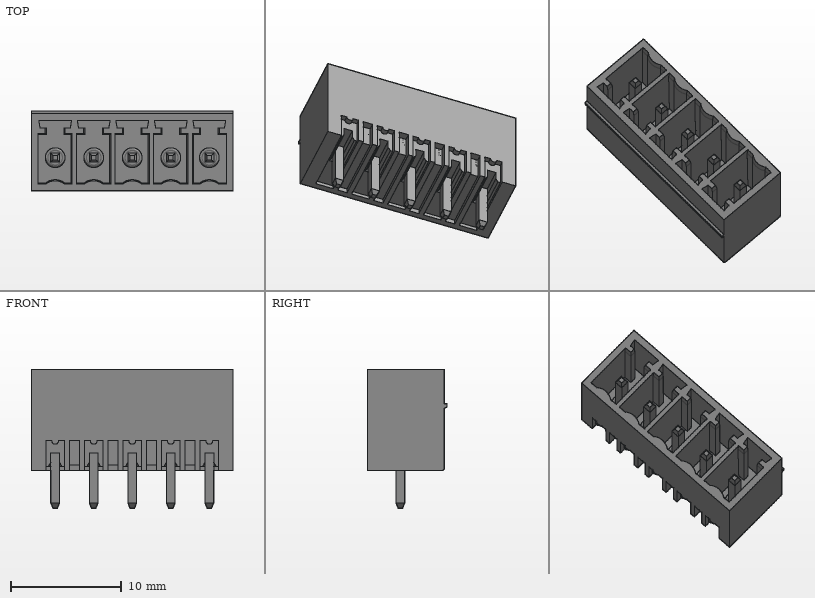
import cadquery as cq


HOUSING_LENGTH = 18.3
HOUSING_DEPTH = 6.99
HOUSING_HEIGHT = 9.19
REAR_EDGE_CHAMFER = 0.15

RIDGE_DEPTH = 0.25
RIDGE_TOP = 6.08
RIDGE_HEIGHT = 0.44
RIDGE_BEVEL = 0.13

POSITIONS = 5
PITCH = 3.5
PIN_Y = 3.0
POSITION_XS = [(i - (POSITIONS - 1) / 2) * PITCH for i in range(POSITIONS)]
GAP_XS = [x + PITCH / 2 for x in POSITION_XS[:-1]]

PIN_WIDTH = 0.8
PIN_TIP_WIDTH = 0.4
PIN_TAPER = 0.5
PIN_TOP = 8.0
PIN_BOTTOM = -3.42
COLLAR_DIAMETER = 1.8
COLLAR_HEIGHT = 0.25
COLLAR_ROUND = 0.24

CAVITY_FLOOR = 2.0
CAVITY_WIDTH = 3.1
CAVITY_HALF_WIDTH = CAVITY_WIDTH / 2
CAVITY_FRONT = 0.71
BUMP_HALF_WIDTH = 0.85
BUMP_HEIGHT = 0.3
TAB_FRONT = 5.1
TAB_REAR = 5.67
TAB_GAP_HALF = 0.8
KEYWAY_REAR = 6.35
KEYWAY_HALF_FRONT = 1.37
KEYWAY_HALF_REAR = 1.48
LEAD_IN = 0.1
LEAD_IN_HEIGHT = 0.6
WALL_DRAFT = 0.11

POCKET_HEIGHT = 2.7
PIN_POCKET_WIDTH = 1.68
PIN_POCKET_DEPTH = 0.45
PIN_CHANNEL_HEIGHT = 0.38
GAP_POCKET_WIDTH = 0.9
GAP_POCKET_DEPTH = 0.6
GAP_CHANNEL_HEIGHT = 0.51
CHANNEL_REAR = 6.35
NUB_RADIUS = 0.31
PIN_SLOT_TOP = 1.57
SLOT_FLARE = 0.2
SLOT_FLARE_HEIGHT = 0.35


def box(x_center, width, y_range, z_range):
    """Block centred on x_center, between the given y and z limits."""
    y_min, y_max = y_range
    z_min, z_max = z_range
    return (
        cq.Workplane("XY")
        .box(width, y_max - y_min, z_max - z_min, centered=(True, False, False))
        .translate((x_center, y_min, z_min))
    )


def housing_block():
    """Outer block with the chamfered lower rear edge and the bevelled rear ridge."""
    block = box(0, HOUSING_LENGTH, (0, HOUSING_DEPTH), (0, HOUSING_HEIGHT))
    block = block.faces("<Z").edges(">Y").chamfer(REAR_EDGE_CHAMFER)
    ridge_bottom = RIDGE_TOP - RIDGE_HEIGHT
    ridge_face = HOUSING_DEPTH + RIDGE_DEPTH
    ridge = (
        cq.Workplane("YZ")
        .polyline([
            (HOUSING_DEPTH, RIDGE_TOP),
            (ridge_face, RIDGE_TOP),
            (ridge_face, ridge_bottom + RIDGE_BEVEL),
            (HOUSING_DEPTH, ridge_bottom),
        ])
        .close()
        .extrude(HOUSING_LENGTH / 2, both=True)
    )
    return block.union(ridge)


def draw_cavity(plane, lead_in):
    """Cavity outline about x = 0, opened by lead_in at the front wall and at the tabs."""
    front = CAVITY_FRONT - lead_in
    tab_front = TAB_FRONT + lead_in
    tab_gap = TAB_GAP_HALF + lead_in
    return (
        plane.moveTo(-CAVITY_HALF_WIDTH, front)
        .lineTo(-BUMP_HALF_WIDTH, front)
        .threePointArc((0, front + BUMP_HEIGHT), (BUMP_HALF_WIDTH, front))
        .lineTo(CAVITY_HALF_WIDTH, front)
        .lineTo(CAVITY_HALF_WIDTH, tab_front)
        .lineTo(tab_gap, tab_front)
        .lineTo(tab_gap, TAB_REAR)
        .lineTo(KEYWAY_HALF_FRONT, TAB_REAR)
        .lineTo(KEYWAY_HALF_REAR, KEYWAY_REAR)
        .lineTo(-KEYWAY_HALF_REAR, KEYWAY_REAR)
        .lineTo(-KEYWAY_HALF_FRONT, TAB_REAR)
        .lineTo(-tab_gap, TAB_REAR)
        .lineTo(-tab_gap, tab_front)
        .lineTo(-CAVITY_HALF_WIDTH, tab_front)
        .close()
    )


def cavity():
    """Straight cavity with a sloped lead-in at its mouth."""
    lead_in_bottom = HOUSING_HEIGHT - LEAD_IN_HEIGHT
    straight = draw_cavity(cq.Workplane("XY", origin=(0, 0, CAVITY_FLOOR)), 0)
    straight = straight.extrude(HOUSING_HEIGHT - CAVITY_FLOOR)
    mouth = draw_cavity(cq.Workplane("XY", origin=(0, 0, lead_in_bottom)), 0)
    mouth = draw_cavity(mouth.workplane(offset=LEAD_IN_HEIGHT), LEAD_IN)
    return straight.union(mouth.loft(ruled=True, combine=True))


def draft_wedge(x_center, side):
    """Thin wedge that drafts one side wall of a cavity; side is +1 right, -1 left."""
    wall_x = x_center + side * CAVITY_HALF_WIDTH
    wedge_front = CAVITY_FRONT - LEAD_IN
    wedge_rear = TAB_FRONT + LEAD_IN
    return (
        cq.Workplane("XZ", origin=(0, wedge_front, 0))
        .polyline([
            (wall_x, CAVITY_FLOOR),
            (wall_x - side * WALL_DRAFT, CAVITY_FLOOR),
            (wall_x, HOUSING_HEIGHT),
        ])
        .close()
        .extrude(wedge_front - wedge_rear)
    )


def underside_pocket(x_center, width, depth, channel_height):
    """Pocket in the front face that continues rearwards as a low channel."""
    pocket = box(x_center, width, (0, depth), (0, POCKET_HEIGHT))
    channel = box(x_center, width, (0, CHANNEL_REAR), (0, channel_height))
    return pocket.union(channel)


def nub():
    """Half-round nub that hangs from the top of a pin pocket."""
    return (
        cq.Workplane("XZ", origin=(0, 0, POCKET_HEIGHT))
        .moveTo(-NUB_RADIUS, 0)
        .threePointArc((0, -NUB_RADIUS), (NUB_RADIUS, 0))
        .close()
        .extrude(-PIN_POCKET_DEPTH)
    )


def pin_slot():
    """Slot from the pin pocket back to the pin, flared along its lower edges."""
    slot = box(0, PIN_WIDTH, (PIN_POCKET_DEPTH, PIN_Y), (PIN_CHANNEL_HEIGHT, PIN_SLOT_TOP))
    half = PIN_WIDTH / 2
    flare_front = PIN_POCKET_DEPTH
    flare_depth = PIN_Y + half - flare_front
    flare_bottom = cq.Workplane("XY", origin=(0, flare_front, PIN_CHANNEL_HEIGHT)).polyline([
        (-half - SLOT_FLARE, 0),
        (half + SLOT_FLARE, 0),
        (half + SLOT_FLARE, flare_depth + SLOT_FLARE),
        (-half - SLOT_FLARE, flare_depth + SLOT_FLARE),
    ]).close()
    flare = flare_bottom.workplane(offset=SLOT_FLARE_HEIGHT).polyline([
        (-half, 0),
        (half, 0),
        (half, flare_depth),
        (-half, flare_depth),
    ]).close().loft(ruled=True, combine=True)
    return slot.union(flare)


def pin():
    """Square pin with tapered ends and a rounded collar on the cavity floor."""
    shank = box(0, PIN_WIDTH, (-PIN_WIDTH / 2, PIN_WIDTH / 2),
                (PIN_BOTTOM + PIN_TAPER, PIN_TOP - PIN_TAPER))
    for face in (">Z", "<Z"):
        shank = (
            shank.faces(face)
            .workplane()
            .rect(PIN_WIDTH, PIN_WIDTH)
            .workplane(offset=PIN_TAPER)
            .rect(PIN_TIP_WIDTH, PIN_TIP_WIDTH)
            .loft(ruled=True, combine=True)
        )
    collar = (
        cq.Workplane("XY", origin=(0, 0, CAVITY_FLOOR))
        .circle(COLLAR_DIAMETER / 2)
        .extrude(COLLAR_HEIGHT)
        .faces(">Z")
        .edges()
        .fillet(COLLAR_ROUND)
    )
    return shank.union(collar).translate((0, PIN_Y, 0))


result = housing_block()

for x in GAP_XS:
    result = result.cut(underside_pocket(x, GAP_POCKET_WIDTH, GAP_POCKET_DEPTH, GAP_CHANNEL_HEIGHT))

for x in POSITION_XS:
    drafted_side = -1 if x == POSITION_XS[-1] else 1
    pocket = underside_pocket(x, PIN_POCKET_WIDTH, PIN_POCKET_DEPTH, PIN_CHANNEL_HEIGHT)
    pocket = pocket.cut(nub().translate((x, 0, 0)))
    result = result.cut(pocket)
    result = result.cut(pin_slot().translate((x, 0, 0)))
    result = result.cut(cavity().translate((x, 0, 0)))
    result = result.union(draft_wedge(x, drafted_side))
    result = result.union(pin().translate((x, 0, 0)))